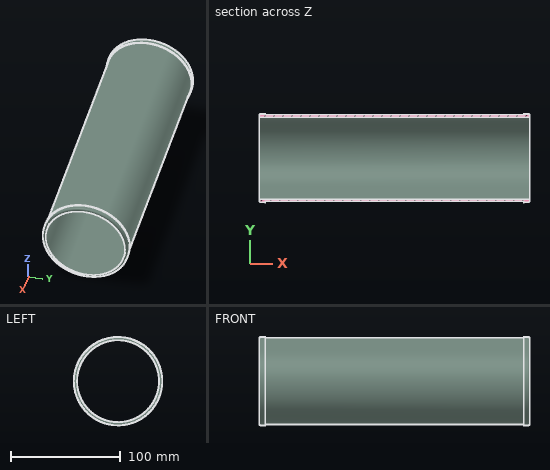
import cadquery as cq

tube_length = 247.0
bore_diameter = 74.5
tube_diameter = 79.5

collar_diameter = 81.0
collar_width = 5.7
rim_radius = 1.6


def cylinder_along_x(diameter, length, start):
    """Solid cylinder along X whose first face lies at x = start."""
    return cq.Workplane("YZ", origin=(start, 0, 0)).circle(diameter / 2).extrude(length)


left_end = -tube_length / 2

left_collar = cylinder_along_x(collar_diameter, collar_width, left_end)
left_collar = left_collar.faces("<X").edges().fillet(rim_radius)
right_collar = left_collar.mirror("YZ")

body = cylinder_along_x(tube_diameter, tube_length - 2 * collar_width, left_end + collar_width)
body = body.union(left_collar).union(right_collar)

bore = cylinder_along_x(bore_diameter, tube_length, left_end)
result = body.cut(bore)